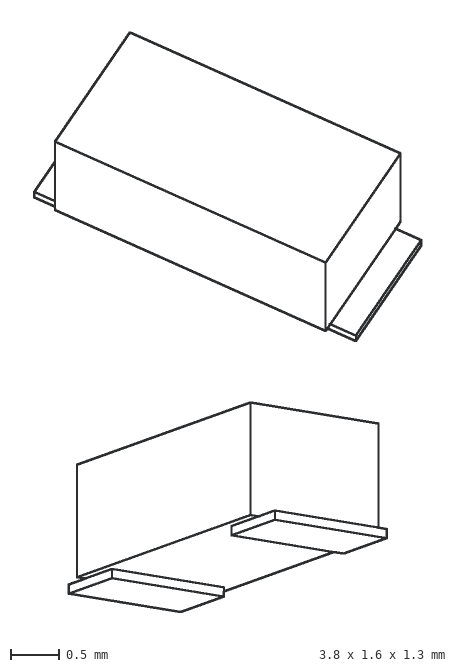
import cadquery as cq

overall_length = 3.8
overall_height = 1.3
body_length = 3.2
body_width = 1.6
terminal_length = 0.798
terminal_width = 1.4
terminal_thickness = 0.1

body_height = overall_height - terminal_thickness
terminal_center_x = (overall_length - terminal_length) / 2


def make_body():
    """Rectangular package resting on top of the terminals."""
    return (
        cq.Workplane("XY")
        .workplane(offset=terminal_thickness)
        .rect(body_length, body_width)
        .extrude(body_height)
    )


def make_terminal(center_x):
    """Flat terminal under one end of the package, projecting past it."""
    return (
        cq.Workplane("XY")
        .center(center_x, 0)
        .rect(terminal_length, terminal_width)
        .extrude(terminal_thickness)
    )


body = make_body()
terminals = [make_terminal(side * terminal_center_x) for side in (-1, 1)]

result = cq.Compound.makeCompound([body.val(), *[terminal.val() for terminal in terminals]])